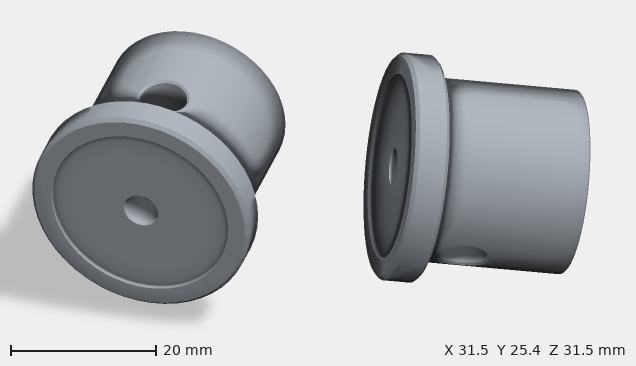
import cadquery as cq
import math

LENGTH = 25.4
FRONT_Y = 0.0
BODY_RADIUS = 12.75
BODY_END_CHAMFER = 0.2
FLANGE_RADIUS = 15.75
FLANGE_THICKNESS = 4.8
FLANGE_CHAMFER = 0.5

RECESS_DEPTH = 0.5
RECESS_RADIUS = 12.75
RECESS_LIP_CHAMFER = 0.1
RECESS_CORNER_RADIUS = 0.2
FLOOR_Y = FRONT_Y + RECESS_DEPTH

CROSS_HOLE_RADIUS = 3.25
CROSS_HOLE_Y = 10.4
CROSS_HOLE_CHAMFER = 0.33
RIM_SEARCH_MARGIN = 0.1
RIM_REACH = CROSS_HOLE_RADIUS + RIM_SEARCH_MARGIN

AXIAL_HOLE_RADIUS = 2.5
TIP_BREAKTHROUGH = 0.28
TIP_ANGLE = 118.0
TIP_LENGTH = AXIAL_HOLE_RADIUS / math.tan(math.radians(TIP_ANGLE / 2))
TIP_END_Y = CROSS_HOLE_Y - CROSS_HOLE_RADIUS + TIP_BREAKTHROUGH


def revolve_about_axis(outline):
    """Revolve a closed outline, drawn as (radius, Y), about the Y axis."""
    return outline.close().revolve(360, (0, 0, 0), (0, 1, 0))


def make_flanged_body():
    back_y = FRONT_Y + LENGTH
    flange_back_y = FRONT_Y + FLANGE_THICKNESS
    outline = cq.Workplane("XY").polyline([
        (0, FRONT_Y),
        (FLANGE_RADIUS - FLANGE_CHAMFER, FRONT_Y),
        (FLANGE_RADIUS, FRONT_Y + FLANGE_CHAMFER),
        (FLANGE_RADIUS, flange_back_y - FLANGE_CHAMFER),
        (FLANGE_RADIUS - FLANGE_CHAMFER, flange_back_y),
        (BODY_RADIUS, flange_back_y),
        (BODY_RADIUS, back_y - BODY_END_CHAMFER),
        (BODY_RADIUS - BODY_END_CHAMFER, back_y),
        (0, back_y),
    ])
    return revolve_about_axis(outline)


def cut_front_recess(part):
    outline = (
        cq.Workplane("XY")
        .moveTo(0, FRONT_Y)
        .lineTo(RECESS_RADIUS + RECESS_LIP_CHAMFER, FRONT_Y)
        .lineTo(RECESS_RADIUS, FRONT_Y + RECESS_LIP_CHAMFER)
        .lineTo(RECESS_RADIUS, FLOOR_Y - RECESS_CORNER_RADIUS)
        .radiusArc((RECESS_RADIUS - RECESS_CORNER_RADIUS, FLOOR_Y), -RECESS_CORNER_RADIUS)
        .lineTo(0, FLOOR_Y)
    )
    return part.cut(revolve_about_axis(outline))


def drill_cross_hole(part):
    cutter = (
        cq.Workplane("XY")
        .center(0, CROSS_HOLE_Y)
        .circle(CROSS_HOLE_RADIUS)
        .extrude(BODY_RADIUS, both=True)
    )
    part = part.cut(cutter)
    rim_zone = cq.selectors.BoxSelector(
        (-RIM_REACH, CROSS_HOLE_Y - RIM_REACH, -FLANGE_RADIUS),
        (RIM_REACH, CROSS_HOLE_Y + RIM_REACH, FLANGE_RADIUS),
        boundingbox=True,
    )
    return part.edges(rim_zone).edges("not %LINE").chamfer(CROSS_HOLE_CHAMFER)


def drill_axial_hole(part):
    outline = cq.Workplane("XY").polyline([
        (0, FRONT_Y),
        (AXIAL_HOLE_RADIUS, FRONT_Y),
        (AXIAL_HOLE_RADIUS, TIP_END_Y - TIP_LENGTH),
        (0, TIP_END_Y),
    ])
    return part.cut(revolve_about_axis(outline))


body = make_flanged_body()
recessed = cut_front_recess(body)
cross_drilled = drill_cross_hole(recessed)
result = drill_axial_hole(cross_drilled)